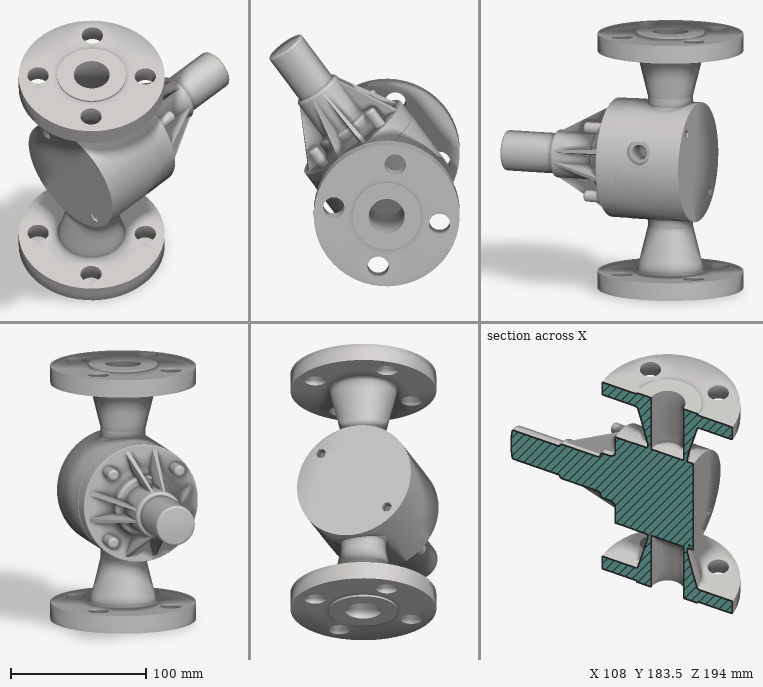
import cadquery as cq
import math


run_height = 194.0
flange_dia = 108.0
flange_thickness = 13.2
raised_face_dia = 50.8
raised_face_height = 1.4
bolt_hole_dia = 15.7
bolt_circle_dia = 79.2
bolt_hole_count = 4
cone_base_dia = 49.0
cone_fillet = 2.3
neck_dia = 33.4
neck_end_z = 49.0
neck_flare = 2.7
neck_flare_z = 42.5
bore_dia = 26.5

body_dia = 88.9
body_front_y = -21.7
joint_y = 29.5
bonnet_dia = 88.5
bonnet_end_y = 43.3
bonnet_chamfer = 0.4

hub_end_y = 55.5
hub_root_fillet = 4.9
stem_dia = 35.5
stem_root_fillet = 2.7
hub_dia = 46.0
stem_end_y = 89.3
stem_end_fillet = 2.7
cap_dia = 29.9
cap_rim_y = 128.3
cap_end_y = 129.5
cap_fillet = 1.7

rib_offset_angle = 15.0
rib_tip_y = 85.4
rib_outer_radius = 41.1
rib_axis_thickness = 0.4
rib_outer_thickness = 3.3

stud_offset = 25.6
stud_dia = 8.3
stud_end_y = 58.2
stud_fillet = 2.1
socket_corner_dia = 8.0
socket_depth = 5.8

port_y = 10.0
port_z = 12.2
port_recess_dia = 18.0
port_recess_floor_x = -39.5
port_dia = 11.5
port_end_x = -23.3
drill_tip_height = 3.3

arrow_y = 25.2
arrow_top_z = 4.5
arrow_neck_z = -1.2
arrow_tip_z = -5.8
arrow_shaft_width = 1.4
arrow_head_width = 4.3
arrow_depth = 0.4

body_radius = body_dia / 2

arc_gap = 1 - math.sqrt(0.5)


def y_cylinder(dia, start_y, end_y):
    """Cylinder around the Y axis."""
    return cq.Workplane("XZ", origin=(0, start_y, 0)).circle(dia / 2).extrude(start_y - end_y)


def make_pipe_end():
    """Upper flange, cone and neck flared into the body, solid down to the run centre."""
    face_z = run_height / 2
    rim_z = face_z - raised_face_height
    back_z = rim_z - flange_thickness
    cone_radius = cone_base_dia / 2
    fillet_mid = cone_fillet * arc_gap
    profile = (
        cq.Workplane("XZ")
        .lineTo(neck_dia / 2 + neck_flare, 0)
        .lineTo(neck_dia / 2 + neck_flare, neck_flare_z - neck_flare)
        .lineTo(neck_dia / 2, neck_flare_z)
        .lineTo(neck_dia / 2, neck_end_z)
        .lineTo(cone_radius, back_z - cone_fillet)
        .threePointArc(
            (cone_radius + fillet_mid, back_z - fillet_mid),
            (cone_radius + cone_fillet, back_z),
        )
        .lineTo(flange_dia / 2, back_z)
        .lineTo(flange_dia / 2, rim_z)
        .lineTo(raised_face_dia / 2, rim_z)
        .lineTo(raised_face_dia / 2, face_z)
        .lineTo(0, face_z)
        .close()
    )
    bolt_holes = (
        cq.Workplane("XY", origin=(0, 0, back_z))
        .polarArray(bolt_circle_dia / 2, 45, 360, bolt_hole_count)
        .circle(bolt_hole_dia / 2)
        .extrude(flange_thickness)
    )
    return profile.revolve(360, (0, 0, 0), (0, 1, 0)).cut(bolt_holes)


def make_bore():
    """Blind bore from the upper flange face down to the body."""
    return (
        cq.Workplane("XY", origin=(0, 0, body_radius))
        .circle(bore_dia / 2)
        .extrude(run_height / 2 - body_radius)
    )


def make_bonnet():
    """Bonnet plate, filleted hub and round-ended stem."""
    plate = y_cylinder(bonnet_dia, joint_y, bonnet_end_y).edges().chamfer(bonnet_chamfer)
    stem_radius = stem_dia / 2
    hub_radius = hub_dia / 2
    step_radius = stem_radius + stem_root_fillet
    crown_radius = hub_radius - step_radius
    root_end_y = bonnet_end_y + hub_root_fillet
    hub = (
        cq.Workplane("XY")
        .moveTo(0, bonnet_end_y)
        .lineTo(hub_radius + hub_root_fillet, bonnet_end_y)
        .threePointArc(
            (hub_radius + hub_root_fillet * arc_gap, bonnet_end_y + hub_root_fillet * arc_gap),
            (hub_radius, root_end_y),
        )
        .lineTo(hub_radius, hub_end_y - crown_radius)
        .threePointArc(
            (hub_radius - crown_radius * arc_gap, hub_end_y - crown_radius * arc_gap),
            (step_radius, hub_end_y),
        )
        .threePointArc(
            (stem_radius + stem_root_fillet * arc_gap, hub_end_y + stem_root_fillet * arc_gap),
            (stem_radius, hub_end_y + stem_root_fillet),
        )
        .lineTo(stem_radius, stem_end_y)
        .lineTo(0, stem_end_y)
        .close()
        .revolve(360, (0, 0, 0), (0, 1, 0))
    )
    return plate.union(hub.faces(">Y").edges().fillet(stem_end_fillet))


def make_cap():
    """Spindle cap with a shallow domed end and a rounded rim."""
    cap_radius = cap_dia / 2
    dome_height = cap_end_y - cap_rim_y
    dome_radius = (cap_radius**2 + dome_height**2) / (2 * dome_height)
    mid_x = cap_radius / 2
    mid_y = cap_end_y - dome_radius + math.sqrt(dome_radius**2 - mid_x**2)
    cap = (
        cq.Workplane("XY")
        .moveTo(0, hub_end_y)
        .lineTo(cap_radius, hub_end_y)
        .lineTo(cap_radius, cap_rim_y)
        .threePointArc((mid_x, mid_y), (0, cap_end_y))
        .close()
        .revolve(360, (0, 0, 0), (0, 1, 0))
    )
    rim_edge = cq.selectors.NearestToPointSelector((0, cap_rim_y, 0))
    return cap.edges(rim_edge).fillet(cap_fillet)


def make_rib():
    """One triangular rib along +X that thickens outwards."""
    side = (
        cq.Workplane("XY")
        .moveTo(0, joint_y)
        .lineTo(0, rib_tip_y)
        .lineTo(stem_dia / 2, rib_tip_y)
        .lineTo(rib_outer_radius, bonnet_end_y)
        .lineTo(rib_outer_radius, joint_y)
        .close()
        .extrude(rib_outer_thickness, both=True)
    )
    wedge = (
        cq.Workplane("XZ", origin=(0, bonnet_end_y - bonnet_chamfer, 0))
        .moveTo(0, -rib_axis_thickness / 2)
        .lineTo(rib_outer_radius, -rib_outer_thickness / 2)
        .lineTo(rib_outer_radius, rib_outer_thickness / 2)
        .lineTo(0, rib_axis_thickness / 2)
        .close()
        .extrude(bonnet_end_y - rib_tip_y - bonnet_chamfer)
    )
    return side.intersect(wedge)


def make_stud():
    """Round-ended stud along the Y axis."""
    return y_cylinder(stud_dia, joint_y, stud_end_y).faces(">Y").edges().fillet(stud_fillet)


def make_port():
    """Recess and drilled hole with a conical end."""
    radius = port_dia / 2
    return (
        cq.Workplane("XY", origin=(0, port_y, port_z))
        .moveTo(-body_radius, 0)
        .lineTo(-body_radius, port_recess_dia / 2)
        .lineTo(port_recess_floor_x, port_recess_dia / 2)
        .lineTo(port_recess_floor_x, radius)
        .lineTo(port_end_x, radius)
        .lineTo(port_end_x + drill_tip_height, 0)
        .close()
        .revolve(360, (0, 0, 0), (1, 0, 0))
    )


def make_arrow():
    """Downward arrow of even depth on the body surface."""
    half_shaft = arrow_shaft_width / 2
    half_head = arrow_head_width / 2
    outline = (
        cq.Workplane("YZ", origin=(-body_radius, arrow_y, 0))
        .moveTo(-half_shaft, arrow_top_z)
        .lineTo(half_shaft, arrow_top_z)
        .lineTo(half_shaft, arrow_neck_z)
        .lineTo(half_head, arrow_neck_z)
        .lineTo(0, arrow_tip_z)
        .lineTo(-half_head, arrow_neck_z)
        .lineTo(-half_shaft, arrow_neck_z)
        .close()
        .extrude(body_radius)
    )
    return outline.cut(y_cylinder(body_dia - 2 * arrow_depth, body_front_y, bonnet_end_y))


result = y_cylinder(body_dia, body_front_y, joint_y).union(make_bonnet()).union(make_cap())

upper_end = make_pipe_end()
result = result.union(upper_end).union(upper_end.mirror("XY"))

rib = make_rib()
for axis_angle in (0, 90, 180, 270):
    for side in (-1, 1):
        result = result.union(rib.rotate((0, 0, 0), (0, 1, 0), axis_angle + side * rib_offset_angle))

stud = make_stud()
for side_x in (-1, 1):
    for side_z in (-1, 1):
        result = result.union(stud.translate((side_x * stud_offset, 0, side_z * stud_offset)))

sockets = (
    cq.Workplane("XZ", origin=(0, body_front_y, 0))
    .pushPoints([(-stud_offset, stud_offset), (stud_offset, -stud_offset)])
    .polygon(6, socket_corner_dia)
    .extrude(-socket_depth)
)
bore = make_bore()
result = result.cut(bore).cut(bore.mirror("XY"))
result = result.cut(sockets).cut(make_port()).cut(make_arrow())